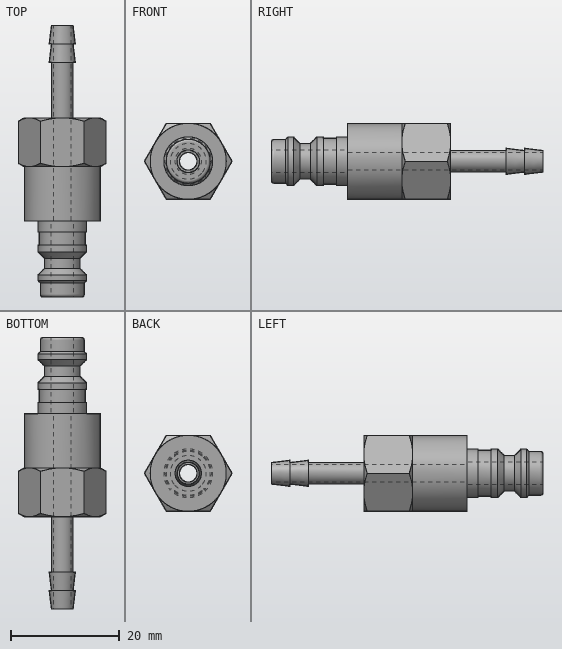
import cadquery as cq
import math


PLUG_RADIUS = 4.5
TIP_RADIUS = 4.05
TIP_FILLET = 0.5
NECK_RADIUS = 3.3
GROOVE_RADIUS = 4.25

COLLAR_START = 3.05
TIP_END = COLLAR_START - (PLUG_RADIUS - TIP_RADIUS)
COLLAR_END = 4.05
NECK_START = COLLAR_END + (PLUG_RADIUS - NECK_RADIUS)
SHOULDER_START = 8.35
NECK_END = SHOULDER_START - (PLUG_RADIUS - NECK_RADIUS)
GROOVE_START = 9.55
GROOVE_END = 11.95
BODY_START = 14.0
HEX_START = 24.0
HEX_END = 33.0
TOTAL_LENGTH = 50.0

HEX_SIDES = 6
ACROSS_FLATS = 14.0
BODY_RADIUS = ACROSS_FLATS / 2
HEX_CORNER_RADIUS = BODY_RADIUS / math.cos(math.pi / HEX_SIDES)
HEX_CHAMFER_ANGLE = 30.0

STEM_RADIUS = 2.0
BARB_RADIUS = 2.42
BARB_LENGTH = 3.4
BARB_COUNT = 2

BORE_RADIUS = 1.6
PLUG_BORE_RADIUS = 2.1
PLUG_BORE_DEPTH = BODY_START


def revolve_profile(points):
    """Revolve a closed (radius, station) outline about the Y axis."""
    return cq.Workplane("XY").polyline(points).close().revolve(360, (0, 0, 0), (0, 1, 0))


def cylinder(radius, start, end):
    """Cylinder on the Y axis between two stations."""
    return cq.Workplane("XZ", origin=(0, start, 0)).circle(radius).extrude(start - end)


def make_plug():
    """Plug with a filleted tip, a locking neck and a shallow groove."""
    plug = revolve_profile([
        (0, 0),
        (TIP_RADIUS, 0),
        (TIP_RADIUS, TIP_END),
        (PLUG_RADIUS, COLLAR_START),
        (PLUG_RADIUS, COLLAR_END),
        (NECK_RADIUS, NECK_START),
        (NECK_RADIUS, NECK_END),
        (PLUG_RADIUS, SHOULDER_START),
        (PLUG_RADIUS, GROOVE_START),
        (GROOVE_RADIUS, GROOVE_START),
        (GROOVE_RADIUS, GROOVE_END),
        (PLUG_RADIUS, GROOVE_END),
        (PLUG_RADIUS, BODY_START),
        (0, BODY_START),
    ])
    return plug.faces("<Y").edges().fillet(TIP_FILLET)


def make_hexagon():
    """Hexagon with corners on the X axis, turned down to a cone at both ends."""
    prism = (
        cq.Workplane("XZ", origin=(0, HEX_START, 0))
        .polygon(HEX_SIDES, 2 * HEX_CORNER_RADIUS)
        .extrude(HEX_START - HEX_END)
    )
    chamfer_width = HEX_CORNER_RADIUS - BODY_RADIUS
    chamfer_length = chamfer_width * math.tan(math.radians(HEX_CHAMFER_ANGLE))
    envelope = revolve_profile([
        (0, HEX_START),
        (BODY_RADIUS, HEX_START),
        (HEX_CORNER_RADIUS, HEX_START + chamfer_length),
        (HEX_CORNER_RADIUS, HEX_END - chamfer_length),
        (BODY_RADIUS, HEX_END),
        (0, HEX_END),
    ])
    return prism.intersect(envelope)


def make_hose_tail():
    """Plain stem with a row of barbs that taper toward the free end."""
    tail = cylinder(STEM_RADIUS, HEX_END, TOTAL_LENGTH)
    for index in range(BARB_COUNT):
        barb_end = TOTAL_LENGTH - index * BARB_LENGTH
        barb_start = barb_end - BARB_LENGTH
        barb = revolve_profile([
            (0, barb_start),
            (BARB_RADIUS, barb_start),
            (STEM_RADIUS, barb_end),
            (0, barb_end),
        ])
        tail = tail.union(barb)
    return tail


def make_passage():
    """Through bore, wider inside the plug."""
    wide_bore = cylinder(PLUG_BORE_RADIUS, 0, PLUG_BORE_DEPTH)
    return cylinder(BORE_RADIUS, 0, TOTAL_LENGTH).union(wide_bore)


body = cylinder(BODY_RADIUS, BODY_START, HEX_START)
fitting = make_plug().union(body).union(make_hexagon()).union(make_hose_tail())
result = fitting.cut(make_passage())